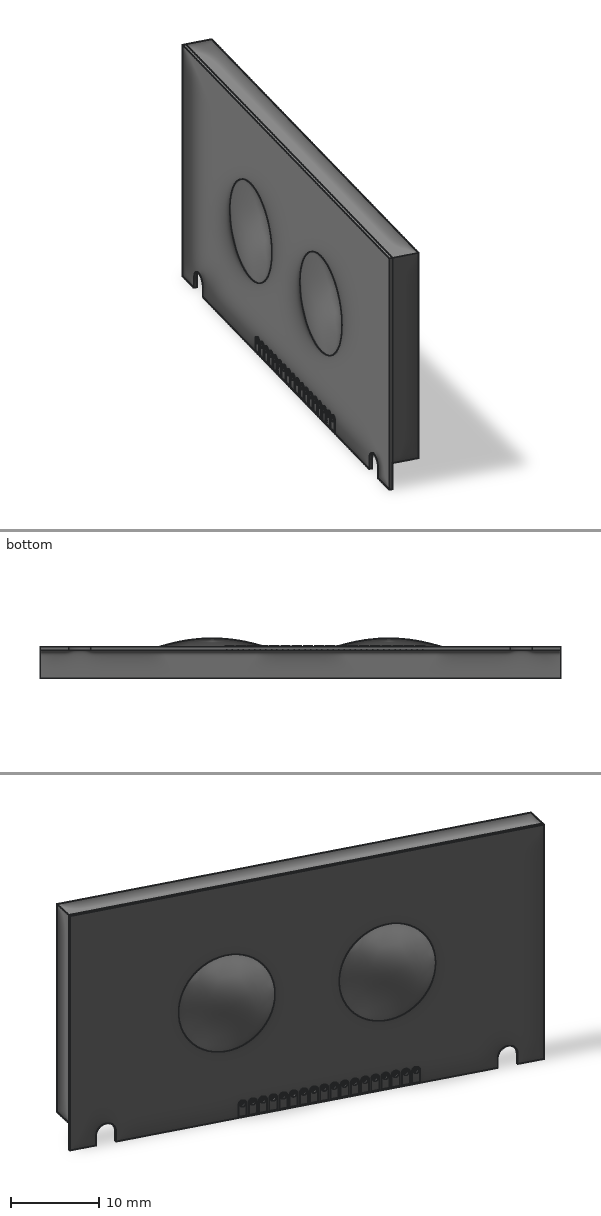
import cadquery as cq

BOARD_LENGTH = 59.0
BOARD_HEIGHT = 29.3
BOARD_THICKNESS = 0.4
BOARD_FRONT_Y = 0.0
BOARD_BACK_Y = BOARD_FRONT_Y + BOARD_THICKNESS
BOARD_BOTTOM_Z = -BOARD_HEIGHT / 2
BOARD_TOP_Z = BOARD_HEIGHT / 2

SLOT_WIDTH = 2.5
SLOT_DEPTH = 2.5
SLOT_SPACING = 50.0

PAD_COUNT = 18
PAD_PITCH = 1.27
PAD_WIDTH = 1.0
PAD_HEIGHT = 2.0
PAD_THICKNESS = 0.1
PAD_HOLE_DIAMETER = 0.6
PAD_EDGE_GAP = 0.15
PAD_ROW_CENTER_X = 2.75
PAD_BOTTOM_Z = BOARD_BOTTOM_Z + PAD_EDGE_GAP
PAD_HOLE_Z = PAD_BOTTOM_Z + PAD_HEIGHT - PAD_WIDTH / 2

BLOCK_DEPTH = 3.2
BLOCK_HEIGHT = 26.0

LENS_DIAMETER = 12.0
LENS_RISE = 1.0
LENS_SPACING = 20.0
LENS_CENTER_Z = 0.0


def front_plane(x, z, y=BOARD_FRONT_Y):
    """Plane facing -Y, with its local axes along X and Z."""
    return cq.Workplane("XZ", origin=(x, y, z))


def round_topped_tab(x, bottom_z, width, height):
    """Closed outline on the board front: a rectangle with a semicircular top."""
    radius = width / 2
    straight = height - radius
    return (
        front_plane(x, bottom_z)
        .moveTo(-radius, 0)
        .lineTo(radius, 0)
        .lineTo(radius, straight)
        .threePointArc((0, height), (-radius, straight))
        .close()
    )


def make_board():
    board = cq.Workplane("XY").box(BOARD_LENGTH, BOARD_THICKNESS, BOARD_HEIGHT)
    board = board.translate((0, BOARD_FRONT_Y + BOARD_THICKNESS / 2, 0))

    for side in (-1, 1):
        slot_x = side * SLOT_SPACING / 2
        slot = round_topped_tab(slot_x, BOARD_BOTTOM_Z, SLOT_WIDTH, SLOT_DEPTH)
        board = board.cut(slot.extrude(-BOARD_THICKNESS))

    first_pad_x = PAD_ROW_CENTER_X - (PAD_COUNT - 1) * PAD_PITCH / 2
    for index in range(PAD_COUNT):
        pad_x = first_pad_x + index * PAD_PITCH
        pad = round_topped_tab(pad_x, PAD_BOTTOM_Z, PAD_WIDTH, PAD_HEIGHT).extrude(PAD_THICKNESS)
        hole = (
            front_plane(pad_x, PAD_HOLE_Z, BOARD_BACK_Y)
            .circle(PAD_HOLE_DIAMETER / 2)
            .extrude(BOARD_THICKNESS + PAD_THICKNESS)
        )
        board = board.union(pad).cut(hole)
    return board


def make_block():
    block = cq.Workplane("XY").box(BOARD_LENGTH, BLOCK_DEPTH, BLOCK_HEIGHT)
    return block.translate((0, BOARD_BACK_Y + BLOCK_DEPTH / 2, BOARD_TOP_Z - BLOCK_HEIGHT / 2))


def make_lens(x):
    """Spherical cap with its flat face on the board front."""
    radius = LENS_DIAMETER / 2
    sphere_radius = (radius**2 + LENS_RISE**2) / (2 * LENS_RISE)
    center_y = BOARD_FRONT_Y - LENS_RISE + sphere_radius
    sphere = cq.Workplane("XY").sphere(sphere_radius).translate((x, center_y, LENS_CENTER_Z))
    cylinder = front_plane(x, LENS_CENTER_Z).circle(radius).extrude(LENS_RISE)
    return cylinder.intersect(sphere)


board = make_board()
block = make_block()
lenses = [make_lens(side * LENS_SPACING / 2) for side in (-1, 1)]

result = cq.Compound.makeCompound(
    [
        *board.solids().vals(),
        *block.solids().vals(),
        *[lens.solids().val() for lens in lenses],
    ]
)